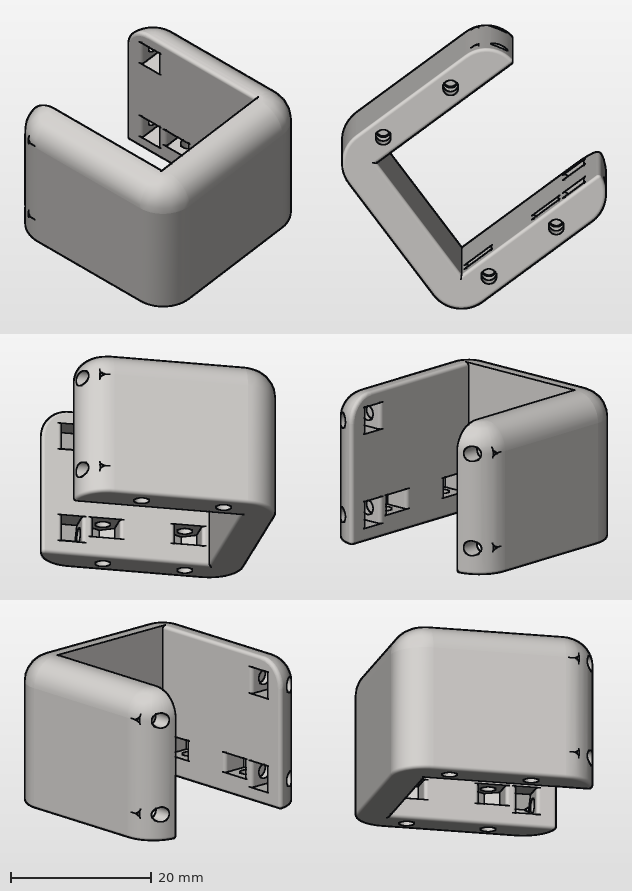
import cadquery as cq
import math

length = 29.5
width = 30.2
height = 22.0
wall = 5.0
top_radius = 4.0
edge_radius = 0.5

hole_diameter = 2.2
nut_flats = 4.0
nut_thickness = 3.0
nut_offset = 3.0
hole_end_clearance = 1.03
hole_depth = nut_offset + nut_thickness + hole_end_clearance
tip_screw_heights = (top_radius, height - top_radius)
base_screw_positions = (9.5, 21.5)

inner_length = length - wall
inner_half_width = width / 2 - wall
hole_axis_y = inner_half_width + wall / 2
tolerance = 0.003


def rounded_body():
    """U-shaped body with the outer corners, top edge and small edges rounded."""
    block = cq.Workplane("XY").box(length, width, height, centered=(False, True, False))
    block = block.edges("|Z").fillet(wall)
    block = block.faces(">Z").edges().fillet(top_radius)
    opening = cq.Workplane("XY").box(
        inner_length, 2 * inner_half_width, height, centered=(False, True, False)
    )
    body = block.cut(opening)

    small_edges = body.faces("<Z").edges()
    for side in (-1, 1):
        inner_face = cq.selectors.BoxSelector(
            (-tolerance, side * inner_half_width - tolerance, tolerance),
            (inner_length - tolerance, side * inner_half_width + tolerance, height + tolerance),
        )
        small_edges = small_edges.add(body.edges(inner_face))
    return body.newObject(small_edges.vals()).fillet(edge_radius)


def pocket_mouth(center_x, pocket_length, bottom, pocket_height):
    """Slot from the inner arm face to the nut axis, its two upright edges rounded."""
    half = pocket_length / 2
    bend = edge_radius * (1 - math.sqrt(0.5))
    return (
        cq.Workplane("XY", origin=(center_x, inner_half_width, bottom))
        .moveTo(-half - edge_radius, 0)
        .threePointArc((-half - bend, bend), (-half, edge_radius))
        .lineTo(-half, wall / 2)
        .lineTo(half, wall / 2)
        .lineTo(half, edge_radius)
        .threePointArc((half + bend, bend), (half + edge_radius, 0))
        .close()
        .extrude(pocket_height)
    )


def screw_and_nut(plane):
    """Screw hole and hexagon along the plane's normal, one hexagon corner toward +Y."""
    hole = cq.Workplane(plane).circle(hole_diameter / 2).extrude(hole_depth)
    nut = (
        cq.Workplane(plane)
        .workplane(offset=nut_offset)
        .polygon(6, nut_flats / math.cos(math.pi / 6))
        .extrude(nut_thickness)
    )
    return hole.union(nut)


def tip_fastener(z):
    """Cutter for a screw entering the arm tip along X."""
    plane = cq.Plane(origin=(0, hole_axis_y, z), xDir=(0, 1, 0), normal=(1, 0, 0))
    mouth = pocket_mouth(
        nut_offset + nut_thickness / 2, nut_thickness, z - nut_flats / 2, nut_flats
    )
    return screw_and_nut(plane).union(mouth)


def base_fastener(x):
    """Cutter for a screw entering the base along Z."""
    plane = cq.Plane(origin=(x, hole_axis_y, 0), xDir=(0, 1, 0), normal=(0, 0, 1))
    mouth = pocket_mouth(x, nut_flats, nut_offset, nut_thickness)
    return screw_and_nut(plane).union(mouth)


result = rounded_body()
cutters = [tip_fastener(z) for z in tip_screw_heights]
cutters += [base_fastener(x) for x in base_screw_positions]
for cutter in cutters:
    result = result.cut(cutter).cut(cutter.mirror("XZ"))